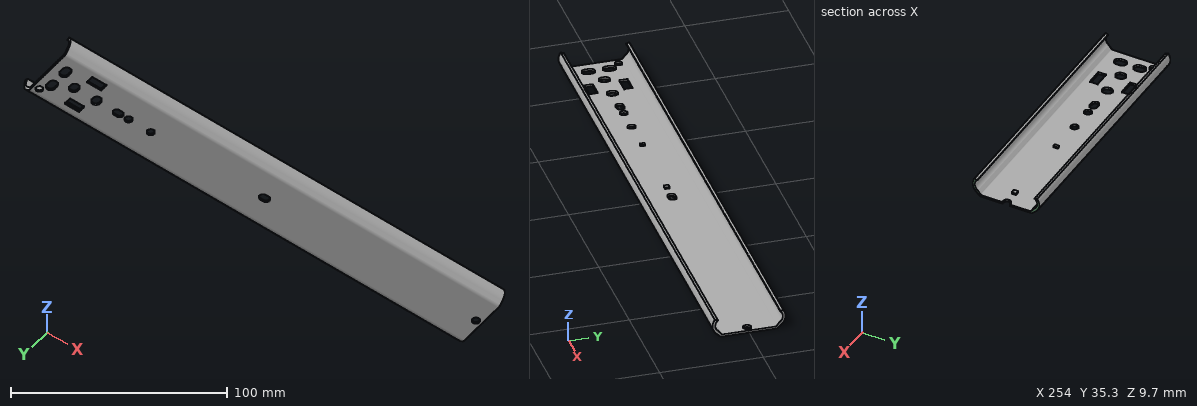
import cadquery as cq

LENGTH = 254.0
WIDTH = 35.3
HEIGHT = 9.7
THICKNESS = 1.3
FLOOR_HALF_WIDTH = 12.7
BEND_INNER = (13.5, 1.8)
BEND_OUTER = (14.2, 0.5)
BEND_MID_INNER = (13.2, 1.47)
BEND_MID_OUTER = (13.6, 0.15)
RACE_HEIGHT = 6.0
RACE_DEPTH_Y = 16.3
RACE_BOTTOM = (14.7, 3.3)
RACE_OUTER_BOTTOM = (15.5, 1.8)
LIP_INNER = (15.0, 9.1)
LIP_OUTER_Y = 16.5

HOLE_DIAMETER = 3.8
ROUND_HOLE_X = (47.5, 60.5, LENGTH - 3.3)
LONG_SLOT_X = (41.5, 127.0)
LONG_SLOT_LENGTH = 5.5
WIDE_SLOT_X = (15.7, 28.7)
WIDE_SLOT_WIDTH = 4.5
WIDE_SLOT_LENGTH = 5.3
END_SLOT_X = 6.5
END_SLOT_Y = 5.0
END_SLOT_LENGTH = 6.4
WINDOW_X = 22.4
WINDOW_Y = 8.5
WINDOW_LENGTH = 8.5
WINDOW_WIDTH = 4.0
CORNER_HOLE_X = 3.3
CORNER_HOLE_Y = 10.5
CORNER_HOLE_DIAMETER = 3.5

TABS = ((78.2, 1.5), (118.4, 2.3))
TAB_WIDTH = 2.3
TAB_HEIGHT = 0.8


def channel():
    """Extrude one half of the rail section along X and mirror it."""
    half = (
        cq.Workplane("YZ")
        .lineTo(FLOOR_HALF_WIDTH, 0)
        .threePointArc(BEND_MID_OUTER, BEND_OUTER)
        .lineTo(*RACE_OUTER_BOTTOM)
        .threePointArc((WIDTH / 2, RACE_HEIGHT), (LIP_OUTER_Y, HEIGHT))
        .lineTo(*LIP_INNER)
        .threePointArc((RACE_DEPTH_Y, RACE_HEIGHT), RACE_BOTTOM)
        .lineTo(*BEND_INNER)
        .threePointArc(BEND_MID_INNER, (FLOOR_HALF_WIDTH, THICKNESS))
        .lineTo(0, THICKNESS)
        .close()
        .extrude(LENGTH)
    )
    return half.union(half.mirror("XZ")).clean()


def floor_points(points):
    """Start a sketch on the underside of the floor at the given points."""
    return cq.Workplane("XY").pushPoints(points)


def cut_floor(body):
    """Cut all holes, slots and windows through the floor."""
    mirrored_slots = [(END_SLOT_X, side * END_SLOT_Y) for side in (-1, 1)]
    windows = [(WINDOW_X, side * WINDOW_Y) for side in (-1, 1)]
    sketches = (
        floor_points([(x, 0) for x in ROUND_HOLE_X]).circle(HOLE_DIAMETER / 2),
        floor_points([(x, 0) for x in LONG_SLOT_X]).slot2D(LONG_SLOT_LENGTH, HOLE_DIAMETER),
        floor_points([(x, 0) for x in WIDE_SLOT_X]).slot2D(WIDE_SLOT_LENGTH, WIDE_SLOT_WIDTH, 90),
        floor_points(mirrored_slots).slot2D(END_SLOT_LENGTH, WIDE_SLOT_WIDTH, 90),
        floor_points(windows).rect(WINDOW_LENGTH, WINDOW_WIDTH),
        floor_points([(CORNER_HOLE_X, CORNER_HOLE_Y)]).circle(CORNER_HOLE_DIAMETER / 2),
    )
    for sketch in sketches:
        body = body.cut(sketch.extrude(THICKNESS))
    return body


def add_tabs(body):
    """Raise the stop tabs from the floor."""
    for x, length in TABS:
        tab = floor_points([(x, 0)]).rect(length, TAB_WIDTH).extrude(THICKNESS + TAB_HEIGHT)
        body = body.union(tab)
    return body


result = add_tabs(cut_floor(channel())).translate((-LENGTH / 2, 0, 0))